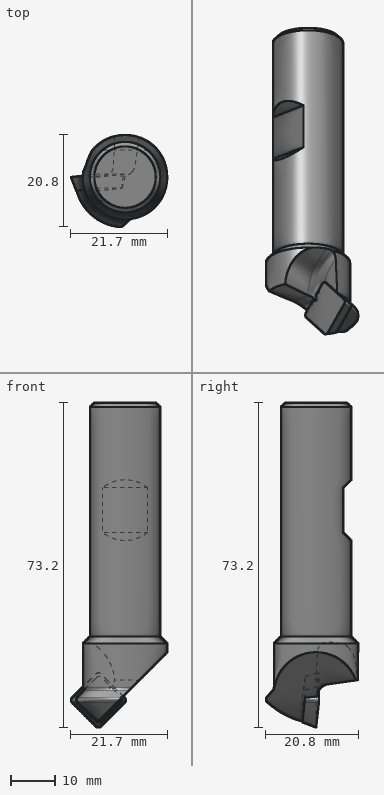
import cadquery as cq
import math

TOTAL_LENGTH = 73.2
SHANK_RADIUS = 15.9 / 2
SHANK_CHAMFER = 1.0
HEAD_RADIUS = 9.5
SHOULDER_Z = 18.95
FLARE_Z = 8.65
RIM_Z = 6.2
RIM_SHARP_RADIUS = 11.65
RIM_ROUND = 0.8
FLARE_FILLET = 1.0

NOTCH_FLAT_Y = 6.15
NOTCH_CENTER_Z = 49.0
NOTCH_FLAT_LENGTH = 10.1
NOTCH_REACH = 3.65

INSERT_SIDE = 9.2
INSERT_CORNER_RADIUS = 0.8
INSERT_THICKNESS = 3.15
INSERT_CLEARANCE = 13.0
INSERT_CENTER_X = -6.0
INSERT_HALF_DIAGONAL = INSERT_SIDE / math.sqrt(2)
CLEARANCE_RADIANS = math.radians(INSERT_CLEARANCE)
SIDE_NORMALS_ANGLE = math.acos(math.sin(CLEARANCE_RADIANS) ** 2)
CORNER_EDGE_LEAN = math.atan(math.sqrt(2) * math.tan(CLEARANCE_RADIANS))
CORNER_INSET = INSERT_CORNER_RADIUS * (1 / math.cos(SIDE_NORMALS_ANGLE / 2) - 1) / math.cos(CORNER_EDGE_LEAN)
INSERT_CENTER_Z = INSERT_HALF_DIAGONAL - CORNER_INSET
RAKE_ANGLE = 4.5

END_PLANE_OFFSET = 7.5
GULLET_DEPTH_BELOW_RAKE = 0.45
GULLET_SHIFT_X = 0.1
GULLET_RISE = 0.2
GULLET_FILLET = 2.5
GULLET_ROOF_START = (-9.9, 19.4)
GULLET_ROOF_MIDDLE = (-5.1, 15.7)
GULLET_ROOF_END = (-2.7, 9.45)
GULLET_RIGHT = 5.85
OUTSIDE = 21.95
SLICE_MARGIN = 0.01


def tilt_to_rake(body):
    """Turn a body about the lower left cutting edge, lifting its inner side towards +Y."""
    left = cq.Vector(INSERT_CENTER_X - INSERT_HALF_DIAGONAL, 0, INSERT_CENTER_Z)
    bottom = cq.Vector(INSERT_CENTER_X, 0, INSERT_CENTER_Z - INSERT_HALF_DIAGONAL)
    return body.rotate(left.toTuple(), bottom.toTuple(), -RAKE_ANGLE)


def make_insert():
    blank = (
        cq.Workplane("XZ", origin=(INSERT_CENTER_X, 0, INSERT_CENTER_Z))
        .transformed(rotate=(0, 0, 45))
        .rect(INSERT_SIDE, INSERT_SIDE)
        .extrude(INSERT_THICKNESS, taper=INSERT_CLEARANCE)
        .edges("not #Y")
        .fillet(INSERT_CORNER_RADIUS)
    )
    return tilt_to_rake(blank)


def make_turned_blank():
    shank_z = SHOULDER_Z + HEAD_RADIUS - SHANK_RADIUS
    profile = [
        (0, TOTAL_LENGTH),
        (SHANK_RADIUS - SHANK_CHAMFER, TOTAL_LENGTH),
        (SHANK_RADIUS, TOTAL_LENGTH - SHANK_CHAMFER),
        (SHANK_RADIUS, shank_z),
        (HEAD_RADIUS, SHOULDER_Z),
        (HEAD_RADIUS, FLARE_Z),
        (RIM_SHARP_RADIUS, RIM_Z),
        (RIM_SHARP_RADIUS - RIM_Z, 0),
        (0, 0),
    ]
    blank = cq.Workplane("XZ").polyline(profile).close().revolve(360, (0, 0), (0, 1))
    blank = blank.edges(at_height(RIM_Z)).fillet(RIM_ROUND)
    return blank.edges(at_height(FLARE_Z)).fillet(FLARE_FILLET)


def at_height(z):
    """Select the edges lying wholly within a thin slice at the given Z."""
    low = (-OUTSIDE, -OUTSIDE, z - SLICE_MARGIN)
    high = (OUTSIDE, OUTSIDE, z + SLICE_MARGIN)
    return cq.selectors.BoxSelector(low, high, True)


def make_notch():
    reach_y = SHANK_RADIUS + NOTCH_REACH
    half_flat = NOTCH_FLAT_LENGTH / 2
    half_mouth = half_flat + reach_y - NOTCH_FLAT_Y
    profile = [
        (NOTCH_FLAT_Y, NOTCH_CENTER_Z - half_flat),
        (NOTCH_FLAT_Y, NOTCH_CENTER_Z + half_flat),
        (reach_y, NOTCH_CENTER_Z + half_mouth),
        (reach_y, NOTCH_CENTER_Z - half_mouth),
    ]
    return cq.Workplane("YZ").polyline(profile).close().extrude(SHANK_RADIUS, both=True)


def make_end_cut():
    """Everything below the 45 degree end plane."""
    profile = [
        (-OUTSIDE, END_PLANE_OFFSET - OUTSIDE),
        (OUTSIDE, END_PLANE_OFFSET + OUTSIDE),
        (OUTSIDE, END_PLANE_OFFSET - OUTSIDE),
    ]
    return cq.Workplane("XZ").polyline(profile).close().extrude(OUTSIDE, both=True)


def make_gullet():
    """Chip space in front of the rake face, with a curved roof and a flat shelf."""
    floor = cq.Workplane("XZ", origin=(0, -GULLET_DEPTH_BELOW_RAKE, 0))
    outline = (
        floor.moveTo(-OUTSIDE, GULLET_ROOF_START[1])
        .lineTo(*GULLET_ROOF_START)
        .threePointArc(GULLET_ROOF_MIDDLE, GULLET_ROOF_END)
        .lineTo(GULLET_RIGHT, GULLET_ROOF_END[1])
        .lineTo(GULLET_RIGHT, -OUTSIDE)
        .lineTo(-OUTSIDE, -OUTSIDE)
        .close()
    ).val()
    direction = cq.Vector(GULLET_SHIFT_X, 1, GULLET_RISE) * OUTSIDE
    gullet = cq.Workplane(cq.Solid.extrudeLinear(outline, [], direction))
    floor_edges = gullet.faces("<Y").edges("%CIRCLE or (|X and (not >Z) and (not <Z))")
    gullet = floor_edges.fillet(GULLET_FILLET)
    return tilt_to_rake(gullet)


insert = make_insert()
holder = make_turned_blank().cut(make_notch()).cut(make_end_cut()).cut(make_gullet()).cut(insert)

result = cq.Compound.makeCompound([holder.val(), insert.val()])